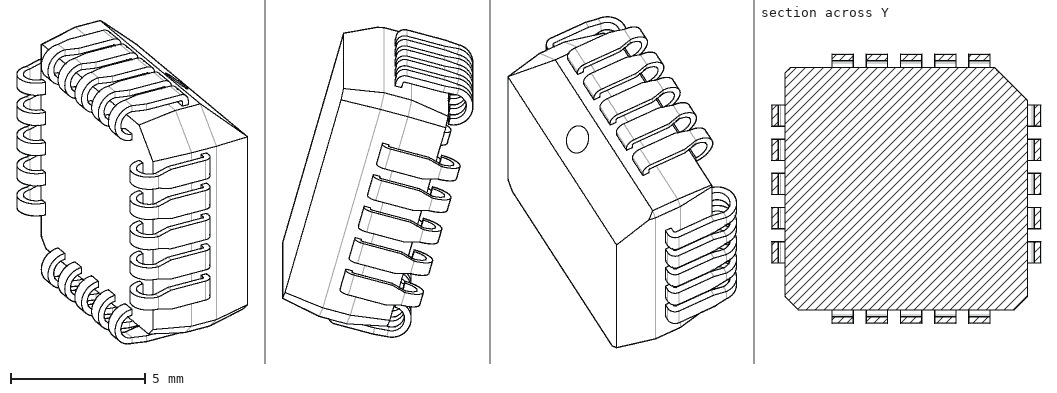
import cadquery as cq
import math


overall_width = 10.03
overall_height = 4.96
body_half = 4.52
base_y = 0.91
belt_low_y = 2.41
belt_high_y = 3.47
draft_angle = 10.6
bevel_depth = 1.34
index_corner = 1.22
small_corner = 0.21
lower_corner = 0.51

dimple_radius = 0.51
dimple_depth = 0.12

leads_per_side = 5
lead_pitch = 1.27
row_shift = 0.18
lead_thickness = 0.25
lead_wide = 0.8
lead_narrow = 0.51
shoulder_y = 3.05
taper_start_y = 1.25
shoulder_outer_radius = 0.32
hook_radius = 0.72
lead_embed = 0.1


def make_body():
    h = body_half
    outline = [
        (-h + small_corner, h),
        (h - index_corner, h),
        (h, h - index_corner),
        (h, -h + lower_corner),
        (h - lower_corner, -h),
        (-h + lower_corner, -h),
        (-h, -h + lower_corner),
        (-h, h - small_corner),
    ]

    def layer(y, height, taper=0):
        plane = cq.Workplane("XZ", origin=(0, y, 0))
        return plane.polyline(outline).close().extrude(height, taper=taper)

    lower = layer(belt_low_y, belt_low_y - base_y, draft_angle)
    belt = layer(belt_high_y, belt_high_y - belt_low_y)
    upper = layer(belt_high_y, belt_high_y - overall_height, draft_angle)
    return lower.union(belt).union(upper)


def cut_bevel(body):
    wedge = (
        cq.Workplane("YZ", origin=(-overall_width / 2, 0, 0))
        .moveTo(belt_high_y, body_half)
        .lineTo(overall_height, body_half - bevel_depth)
        .lineTo(overall_height, body_half)
        .close()
        .extrude(overall_width)
    )
    return body.cut(wedge)


def cut_dimple(body):
    rise = overall_height - belt_high_y
    slope_length = math.hypot(rise, bevel_depth)
    normal_y = bevel_depth / slope_length
    normal_z = rise / slope_length
    ball_radius = (dimple_radius**2 + dimple_depth**2) / (2 * dimple_depth)
    lift = ball_radius - dimple_depth
    ball_y = (belt_high_y + overall_height) / 2 + lift * normal_y
    ball_z = body_half - bevel_depth / 2 + lift * normal_z
    ball = cq.Workplane("XY").sphere(ball_radius).translate((row_shift, ball_y, ball_z))
    return body.cut(ball)


def make_lead():
    """One lead on the +X side, centred on Z = 0."""
    outer_x = overall_width / 2
    inner_x = outer_x - lead_thickness
    root_x = body_half - lead_embed
    hook_x = outer_x - hook_radius
    hook_inner_radius = hook_radius - lead_thickness
    bend_x = outer_x - shoulder_outer_radius
    bend_y = shoulder_y - shoulder_outer_radius
    bend_inner_radius = shoulder_outer_radius - lead_thickness

    strip = (
        cq.Workplane("XY")
        .moveTo(root_x, shoulder_y)
        .lineTo(bend_x, shoulder_y)
        .radiusArc((outer_x, bend_y), shoulder_outer_radius)
        .lineTo(outer_x, hook_radius)
        .threePointArc((hook_x, 0), (hook_x - hook_radius, hook_radius))
        .lineTo(hook_x - hook_inner_radius, hook_radius)
        .threePointArc((hook_x, lead_thickness), (inner_x, hook_radius))
        .lineTo(inner_x, bend_y)
        .radiusArc((bend_x, shoulder_y - lead_thickness), -bend_inner_radius)
        .lineTo(root_x, shoulder_y - lead_thickness)
        .close()
        .extrude(lead_wide / 2, both=True)
    )
    face = (
        cq.Workplane("YZ")
        .moveTo(0, -lead_narrow / 2)
        .lineTo(hook_radius, -lead_narrow / 2)
        .lineTo(taper_start_y, -lead_wide / 2)
        .lineTo(shoulder_y, -lead_wide / 2)
        .lineTo(shoulder_y, lead_wide / 2)
        .lineTo(taper_start_y, lead_wide / 2)
        .lineTo(hook_radius, lead_narrow / 2)
        .lineTo(0, lead_narrow / 2)
        .close()
        .extrude(overall_width)
    )
    return strip.intersect(face)


def add_leads(body):
    lead = make_lead()
    for quarter in range(4):
        turned = lead.rotate((0, 0, 0), (0, 1, 0), 90 * quarter)
        on_x_side = quarter % 2 == 0
        for index in range(leads_per_side):
            along = row_shift + (index - (leads_per_side - 1) / 2) * lead_pitch
            offset = (0, 0, along) if on_x_side else (along, 0, 0)
            body = body.union(turned.translate(offset))
    return body


result = add_leads(cut_dimple(cut_bevel(make_body())))